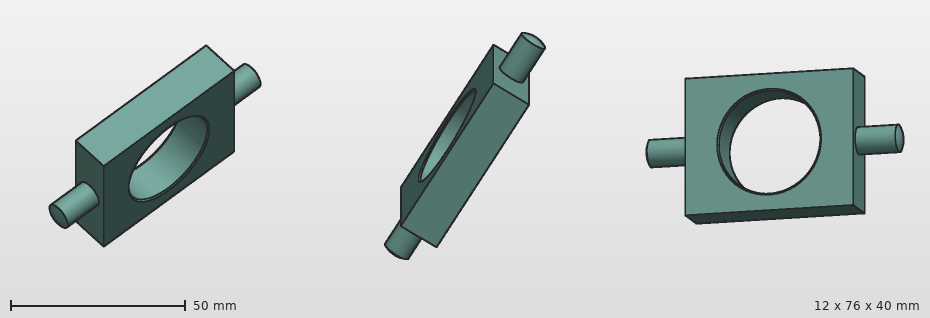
import cadquery as cq

block_thickness = 12.0
block_length = 50.0
block_height = 40.0

bore_diameter = 30.1
bore_chamfer = 0.45

overall_length = 76.0
pin_diameter = 8.0
dome_height = 1.1

pin_radius = pin_diameter / 2
tip = overall_length / 2
shoulder = tip - dome_height
dome_radius = (pin_radius**2 + dome_height**2) / (2 * dome_height)
dome_mid_radius = pin_radius / 2
dome_mid_y = tip - dome_radius + (dome_radius**2 - dome_mid_radius**2) ** 0.5


def make_pins():
    """Revolve one full-length shaft about Y; its ends form both pins."""
    profile = (
        cq.Workplane("XY")
        .moveTo(0, -tip)
        .threePointArc((dome_mid_radius, -dome_mid_y), (pin_radius, -shoulder))
        .lineTo(pin_radius, shoulder)
        .threePointArc((dome_mid_radius, dome_mid_y), (0, tip))
        .close()
    )
    return profile.revolve(360, (0, 0, 0), (0, 1, 0))


def make_bore():
    """Bore cutter along X, flared at both faces of the block."""
    bore_radius = bore_diameter / 2
    mouth_radius = bore_radius + bore_chamfer
    face = block_thickness / 2
    chamfer_start = face - bore_chamfer
    profile = cq.Workplane("XY").polyline([
        (-face, 0),
        (-face, mouth_radius),
        (-chamfer_start, bore_radius),
        (chamfer_start, bore_radius),
        (face, mouth_radius),
        (face, 0),
    ]).close()
    return profile.revolve(360, (0, 0, 0), (1, 0, 0))


block = cq.Workplane("XY").box(block_thickness, block_length, block_height)
result = block.union(make_pins()).cut(make_bore())